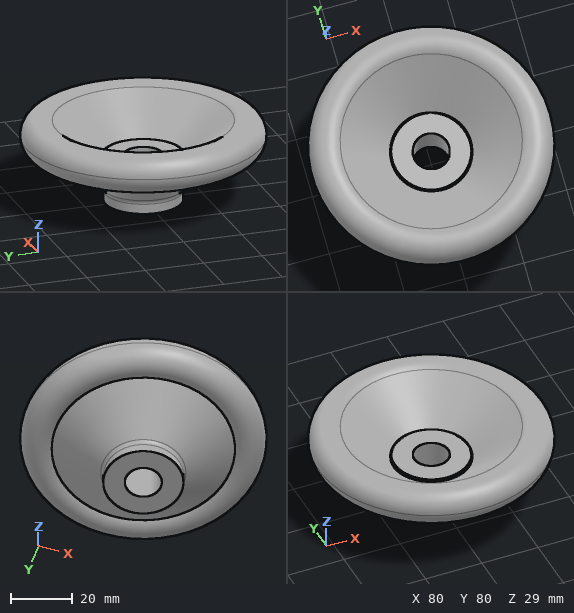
import cadquery as cq
import math

outer_diameter = 80.0
total_height = 29.0
rim_section_diameter = 13.0
hub_diameter = 26.0
hub_height = 16.0
bore_diameter = 12.0
cone_slope_angle = 37.5
collar_height = 3.4
collar_fillet_radius = 2.0
groove_width = 0.35

rim_section_radius = rim_section_diameter / 2
rim_center_radius = outer_diameter / 2 - rim_section_radius
rim_center_z = total_height - rim_section_radius
hub_radius = hub_diameter / 2
slope = math.radians(cone_slope_angle)

inner_cone_top_radius = rim_center_radius - rim_section_radius * math.sin(slope)
inner_cone_top_z = rim_center_z + rim_section_radius * math.cos(slope)
inner_cone_bottom_radius = hub_radius + groove_width
inner_cone_bottom_z = inner_cone_top_z - (inner_cone_top_radius - inner_cone_bottom_radius) * math.tan(slope)

fillet_center_radius = hub_radius + collar_fillet_radius


def fillet_point(angle):
    """Point on the collar fillet, turned by angle from its tangency with the collar."""
    return (
        fillet_center_radius - collar_fillet_radius * math.cos(angle),
        collar_height + collar_fillet_radius * math.sin(angle),
    )


fillet_sweep = math.pi / 2 - slope
outer_cone_bottom_radius, outer_cone_bottom_z = fillet_point(fillet_sweep)
outer_cone_top_radius = rim_center_radius
outer_cone_top_z = outer_cone_bottom_z + (outer_cone_top_radius - outer_cone_bottom_radius) * math.tan(slope)


def make_rim():
    """Round rim: a full circle swept about the axis."""
    return (
        cq.Workplane("XZ")
        .center(rim_center_radius, rim_center_z)
        .circle(rim_section_radius)
        .revolve(360, (-rim_center_radius, 0, 0), (-rim_center_radius, 1, 0))
    )


def make_hub_and_bowl():
    """Hub with the conical bowl wall that carries the rim."""
    return (
        cq.Workplane("XZ")
        .moveTo(0, 0)
        .lineTo(hub_radius, 0)
        .lineTo(hub_radius, collar_height)
        .threePointArc(fillet_point(fillet_sweep / 2), fillet_point(fillet_sweep))
        .lineTo(outer_cone_top_radius, outer_cone_top_z)
        .lineTo(inner_cone_top_radius, inner_cone_top_z)
        .lineTo(inner_cone_bottom_radius, inner_cone_bottom_z)
        .lineTo(hub_radius, inner_cone_bottom_z)
        .lineTo(hub_radius, hub_height)
        .lineTo(0, hub_height)
        .close()
        .revolve(360, (0, 0, 0), (0, 1, 0))
    )


def make_bore():
    """Through bore along the axis."""
    return cq.Workplane("XY").circle(bore_diameter / 2).extrude(total_height)


result = make_hub_and_bowl().union(make_rim()).cut(make_bore())